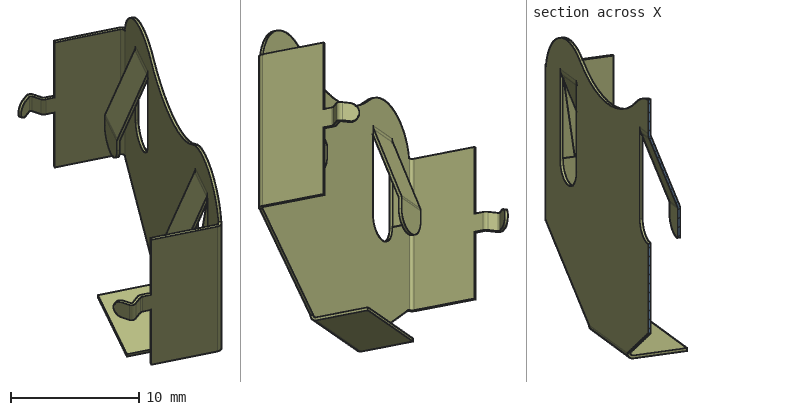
import cadquery as cq
import math


overall_width = 26.9
overall_depth = 8.89
overall_height = 22.61
thickness = 0.254
bend_radius = 1.5 * thickness
mid_sheet = thickness / 2
fold_allowance = bend_radius + mid_sheet
root_overlap = thickness

body_width = 25.4
wall_height = 12.7
wall_bottom = 6.49
wall_depth = 5.88
wall_top = wall_bottom + wall_height
wall_mid_height = wall_bottom + wall_height / 2

plate_half_width = body_width / 2 - fold_allowance
lobe_radius = 4.17
saddle_height = 19.84

flange_width = 7.54
flange_depth = 5.08

tab_width = 1.524
tab_peak_depth = 7.645
tab_peak_radius = thickness

tongue_offset = 7.78
tongue_width = 3.175
tongue_root = 19.85
tongue_tip = 10.86
tongue_reach = 2.77
tongue_knee = 13.42
tongue_root_radius = 1.0
tongue_knee_radius = bend_radius
tongue_bend_drop = 0.21
slot_end_clearance = 0.1

web_thickness = 0.08
web_top = 19.37
web_depth = 1.26


def bent_strip(plane, path, radii, width):
    """Sheet following the mid-line `path`, bent to `radii` at its inner points,
    extruded symmetrically about `plane` to `width`."""
    points = [cq.Vector(x, y, 0) for x, y in path]
    headings = [(b - a).normalized() for a, b in zip(points, points[1:])]

    def side(offset):
        """Start point, bends as (start, middle, end), and end point of one face."""
        normals = [cq.Vector(-h.y, h.x, 0) for h in headings]
        bends = []
        for i, radius in enumerate(radii):
            corner = points[i + 1]
            turn = headings[i].getAngle(headings[i + 1])
            setback = radius * math.tan(turn / 2)
            inward = (headings[i + 1] - headings[i]).normalized()
            center = corner + inward * (radius / math.cos(turn / 2))
            inner_side = math.copysign(1, inward.dot(normals[i]))
            face_radius = radius - offset * inner_side
            bends.append((
                corner - headings[i] * setback + normals[i] * offset,
                center - inward * face_radius,
                corner + headings[i + 1] * setback + normals[i + 1] * offset,
            ))
        return points[0] + normals[0] * offset, bends, points[-1] + normals[-1] * offset

    left_start, left_bends, left_end = side(mid_sheet)
    right_start, right_bends, right_end = side(-mid_sheet)
    outline = plane.moveTo(left_start.x, left_start.y)
    for start, middle, end in left_bends:
        outline = outline.lineTo(start.x, start.y).threePointArc((middle.x, middle.y), (end.x, end.y))
    outline = outline.lineTo(left_end.x, left_end.y).lineTo(right_end.x, right_end.y)
    for start, middle, end in reversed(right_bends):
        outline = outline.lineTo(end.x, end.y).threePointArc((middle.x, middle.y), (start.x, start.y))
    outline = outline.lineTo(right_start.x, right_start.y).close()
    return outline.extrude(width / 2, both=True)


def tongue_outline(x_center, tip):
    """Straight-sided shape with a square root and a full-round lower end."""
    half = tongue_width / 2
    return (
        cq.Workplane("XZ")
        .moveTo(x_center - half, tongue_root)
        .lineTo(x_center - half, tip + half)
        .threePointArc((x_center, tip), (x_center + half, tip + half))
        .lineTo(x_center + half, tongue_root)
        .close()
    )


def make_plate():
    """Flat plate: two lobes joined by a tangent saddle, tapering to the flange."""
    lobe_z = overall_height - lobe_radius
    lobe_x = plate_half_width - math.sqrt(lobe_radius**2 - (wall_top - lobe_z) ** 2)
    saddle_rise = saddle_height - lobe_z
    saddle_radius = (lobe_x**2 + saddle_rise**2 - lobe_radius**2) / (2 * (lobe_radius - saddle_rise))
    share = lobe_radius / (lobe_radius + saddle_radius)
    tangent_x = lobe_x * (1 - share)
    tangent_z = lobe_z + share * (saddle_rise + saddle_radius)
    plate = (
        cq.Workplane("XZ")
        .moveTo(-flange_width / 2, fold_allowance)
        .lineTo(-plate_half_width, wall_bottom)
        .lineTo(-plate_half_width, wall_top)
        .threePointArc((-lobe_x, overall_height), (-tangent_x, tangent_z))
        .threePointArc((0, saddle_height), (tangent_x, tangent_z))
        .threePointArc((lobe_x, overall_height), (plate_half_width, wall_top))
        .lineTo(plate_half_width, wall_bottom)
        .lineTo(flange_width / 2, fold_allowance)
        .close()
        .extrude(thickness)
    )
    for x_center in (-tongue_offset, tongue_offset):
        slot = tongue_outline(x_center, tongue_tip - slot_end_clearance).extrude(thickness)
        plate = plate.cut(slot)
    return plate


def make_right_wall():
    """Side wall folded off the +X edge of the plate."""
    wall_x = body_width / 2 - mid_sheet
    path = [(plate_half_width - root_overlap, -mid_sheet), (wall_x, -mid_sheet), (wall_x, -wall_depth)]
    return bent_strip(cq.Workplane("XY", origin=(0, 0, wall_mid_height)), path, [bend_radius], wall_height)


def make_right_tab():
    """V-shaped contact tab with a rounded end, growing from the +X wall."""
    slant = math.sqrt(0.5)
    wall_x = body_width / 2 - mid_sheet
    peak_x = overall_width / 2 - mid_sheet + tab_peak_radius * (1 / slant - 1)
    knee_depth = tab_peak_depth - (peak_x - wall_x)
    end_depth = overall_depth - mid_sheet * slant
    round_depth = end_depth - tab_width / 2 * slant
    round_x = peak_x - (round_depth - tab_peak_depth)
    path = [
        (wall_x, -wall_depth),
        (wall_x, -knee_depth),
        (peak_x, -tab_peak_depth),
        (round_x, -round_depth),
    ]
    plane = cq.Workplane("XY", origin=(0, 0, wall_mid_height))
    tab = bent_strip(plane, path, [bend_radius, tab_peak_radius], tab_width)
    end_plane = cq.Plane(origin=(round_x, -round_depth, wall_mid_height), xDir=(0, 0, 1), normal=(1, -1, 0))
    half = tab_width / 2
    rounded_end = (
        cq.Workplane(end_plane)
        .moveTo(-half, 0)
        .threePointArc((0, half), (half, 0))
        .close()
        .extrude(mid_sheet, both=True)
    )
    return tab.union(rounded_end)


def make_flange():
    """Support flange folded off the bottom edge of the plate."""
    path = [(-mid_sheet, fold_allowance + root_overlap), (-mid_sheet, mid_sheet), (-flange_depth, mid_sheet)]
    return bent_strip(cq.Workplane("YZ"), path, [bend_radius], flange_width)


def make_tongue(x_center):
    """Spring tongue sloping out of its slot, ending in a flap parallel to the plate."""
    flap_y = -tongue_reach + mid_sheet
    path = [
        (-mid_sheet, tongue_root),
        (-mid_sheet, tongue_root - tongue_bend_drop),
        (flap_y, tongue_knee),
        (flap_y, tongue_tip),
    ]
    plane = cq.Workplane("YZ", origin=(x_center, 0, 0))
    strip = bent_strip(plane, path, [tongue_root_radius, tongue_knee_radius], tongue_width)
    return strip.intersect(tongue_outline(x_center, tongue_tip).extrude(overall_depth))


def make_web():
    """Thin triangular web beside the +X tongue, deepest at the slot's lower end."""
    web_bottom = tongue_tip + tongue_width / 2
    slot_edge = tongue_offset + tongue_width / 2
    return (
        cq.Workplane("YZ", origin=(slot_edge, 0, 0))
        .moveTo(-thickness, web_top)
        .lineTo(-web_depth, web_bottom)
        .lineTo(-thickness, web_bottom)
        .close()
        .extrude(web_thickness)
    )


result = make_plate().union(make_flange()).union(make_web())
for side_part in (make_right_wall(), make_right_tab()):
    result = result.union(side_part).union(side_part.mirror("YZ"))
for tongue_x in (-tongue_offset, tongue_offset):
    result = result.union(make_tongue(tongue_x))